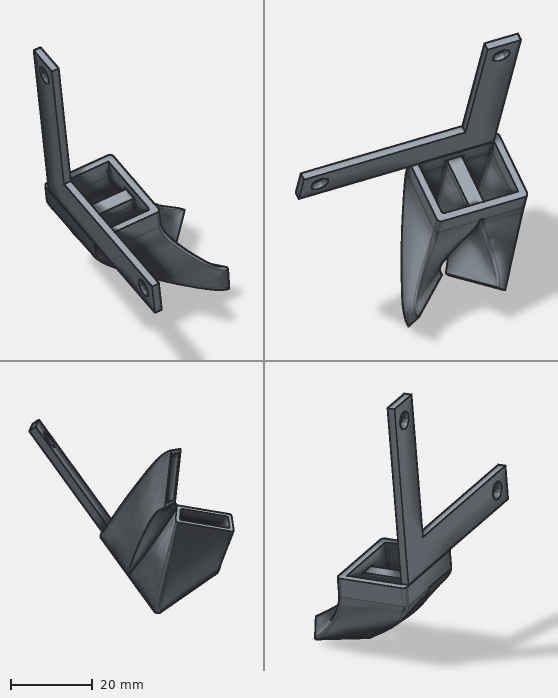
import cadquery as cq
import math

TILT = 8.8

ARM_WIDTH = 9.0
LONG_ARM = 52.5
SHORT_ARM = 47.55
PLATE_THICKNESS = 2.0
PLATE_SETBACK = 0.2
HOLE_DIAMETER = 4.5
HOLE_END_DISTANCE = 5.0

FRAME_LEFT = -2.1
FRAME_WIDTH = 24.35
FRAME_DEPTH = 19.2
FRAME_HEIGHT = 4.9
WALL = 2.0
DIVIDER_DROP = 2.8
CORNER_RADIUS = 1.05
INNER_RADIUS = 0.7
FRAME_RIGHT = FRAME_LEFT + FRAME_WIDTH
FRAME_MIDDLE = FRAME_LEFT + FRAME_WIDTH / 2
DUCT_WIDTH = FRAME_WIDTH / 2

OUTLET_MIRROR_X = 22.1
OUTLET_WALL = 1.0
OUTLET_RADIUS = 0.6
SHARP_RADIUS = 0.15
OUTLET_FRONT_BOTTOM = cq.Vector(19.9, 21.2, -22.0)
OUTLET_LENGTH = cq.Vector(-10.05, 9.15, 1.05)
OUTLET_FLARE = 1.08
OUTLET_RISE = cq.Vector(1.75, 1.8, 5.5)
LEFT_OUTLET = [
    OUTLET_FRONT_BOTTOM,
    OUTLET_FRONT_BOTTOM + OUTLET_RISE,
    OUTLET_FRONT_BOTTOM + OUTLET_RISE + OUTLET_LENGTH,
    OUTLET_FRONT_BOTTOM + OUTLET_LENGTH * OUTLET_FLARE,
]
RIGHT_OUTLET = [
    cq.Vector(2 * OUTLET_MIRROR_X - LEFT_OUTLET[i].x, LEFT_OUTLET[i].y, LEFT_OUTLET[i].z)
    for i in (0, 3, 2, 1)
]

INLET_PULL = 15.5
OUTLET_PULL = 11.95
SECTION_COUNT = 7


def tilted(shape):
    return shape.rotate((0, 0, 0), (0, 1, 0), -TILT)


def tilted_point(x, y, z):
    angle = math.radians(TILT)
    return cq.Vector(
        x * math.cos(angle) - z * math.sin(angle),
        y,
        x * math.sin(angle) + z * math.cos(angle),
    )


def block(left, right, front, back, bottom, top):
    return cq.Workplane("XY").box(
        right - left, back - front, top - bottom, centered=False
    ).translate((left, front, bottom))


def make_plate():
    outline = [
        (0, 0),
        (LONG_ARM, 0),
        (LONG_ARM, ARM_WIDTH),
        (ARM_WIDTH, ARM_WIDTH),
        (ARM_WIDTH, SHORT_ARM),
        (0, SHORT_ARM),
    ]
    holes = [
        (LONG_ARM - HOLE_END_DISTANCE, ARM_WIDTH / 2),
        (ARM_WIDTH / 2, SHORT_ARM - HOLE_END_DISTANCE),
    ]
    plane = cq.Workplane("XZ", origin=(0, PLATE_SETBACK, 0))
    plate = plane.polyline(outline).close().extrude(-PLATE_THICKNESS)
    return plate.cut(plane.pushPoints(holes).circle(HOLE_DIAMETER / 2).extrude(-PLATE_THICKNESS))


def make_frame():
    frame = block(FRAME_LEFT, FRAME_RIGHT, 0, FRAME_DEPTH, -FRAME_HEIGHT, 0)
    frame = frame.edges("|Z").fillet(CORNER_RADIUS)
    mouth = block(
        FRAME_LEFT + WALL, FRAME_RIGHT - WALL, WALL, FRAME_DEPTH - WALL, -DIVIDER_DROP, 0
    )
    frame = frame.cut(mouth.edges("|Z and >X").fillet(INNER_RADIUS))
    for left in (FRAME_LEFT, FRAME_MIDDLE):
        opening = block(
            left + WALL, left + DUCT_WIDTH - WALL,
            WALL, FRAME_DEPTH - WALL, -FRAME_HEIGHT, -DIVIDER_DROP,
        )
        frame = frame.cut(opening.edges("|Z").fillet(INNER_RADIUS))
    return frame


def inset_corners(corners, inset):
    """Move each corner inward along both adjoining sides."""
    moved = []
    for i, corner in enumerate(corners):
        toward_next = (corners[(i + 1) % 4] - corner).normalized()
        toward_last = (corners[i - 1] - corner).normalized()
        moved.append(corner + (toward_next + toward_last) * inset)
    return moved


def rounded_section(corners, radii):
    """Closed four-sided wire with each corner replaced by an arc."""
    arcs = []
    for i, (corner, radius) in enumerate(zip(corners, radii)):
        toward_last = (corners[i - 1] - corner).normalized()
        toward_next = (corners[(i + 1) % 4] - corner).normalized()
        start = corner + toward_last * radius
        end = corner + toward_next * radius
        middle = corner + (toward_last + toward_next) * (radius * (1 - math.sqrt(0.5)))
        arcs.append((start, middle, end))
    edges = []
    for i, arc in enumerate(arcs):
        edges.append(cq.Edge.makeThreePointArc(*arc))
        edges.append(cq.Edge.makeLine(arc[2], arcs[(i + 1) % 4][0]))
    return cq.Wire.assembleEdges(edges)


def make_duct(inlet, outlet, inlet_radii, outlet_radii):
    """Twisting loft whose corners follow cubic Hermite curves."""
    inlet_pull = tilted_point(0, 0, -INLET_PULL)
    flow = (outlet[3] - outlet[0]).cross(outlet[1] - outlet[0]).normalized()
    outlet_pull = flow * OUTLET_PULL
    sections = []
    for step in range(SECTION_COUNT):
        t = step / (SECTION_COUNT - 1)
        blend = t * t * (3 - 2 * t)
        drift = inlet_pull * (t * (1 - t) ** 2) - outlet_pull * (t * t * (1 - t))
        corners = [a * (1 - blend) + b * blend + drift for a, b in zip(inlet, outlet)]
        radii = [a * (1 - t) + b * t for a, b in zip(inlet_radii, outlet_radii)]
        sections.append(rounded_section(corners, radii))
    return cq.Workplane(cq.Solid.makeLoft(sections))


def inlet_corners(left):
    right = left + DUCT_WIDTH
    return [
        tilted_point(left, 0, -FRAME_HEIGHT),
        tilted_point(right, 0, -FRAME_HEIGHT),
        tilted_point(right, FRAME_DEPTH, -FRAME_HEIGHT),
        tilted_point(left, FRAME_DEPTH, -FRAME_HEIGHT),
    ]


result = tilted(make_frame()).union(tilted(make_plate()))
passages = []
for duct_left, duct_outlet, seam_corners in (
    (FRAME_LEFT, LEFT_OUTLET, (1,)),
    (FRAME_MIDDLE, RIGHT_OUTLET, (0, 3)),
):
    duct_inlet = inlet_corners(duct_left)
    inlet_radii = [SHARP_RADIUS if i in seam_corners else CORNER_RADIUS for i in range(4)]
    outlet_radii = [SHARP_RADIUS if i in seam_corners else OUTLET_RADIUS for i in range(4)]
    result = result.union(make_duct(duct_inlet, duct_outlet, inlet_radii, outlet_radii))
    passages.append(
        make_duct(
            inset_corners(duct_inlet, WALL),
            inset_corners(duct_outlet, OUTLET_WALL),
            [INNER_RADIUS] * 4,
            [OUTLET_RADIUS] * 4,
        )
    )
for passage in passages:
    result = result.cut(passage)